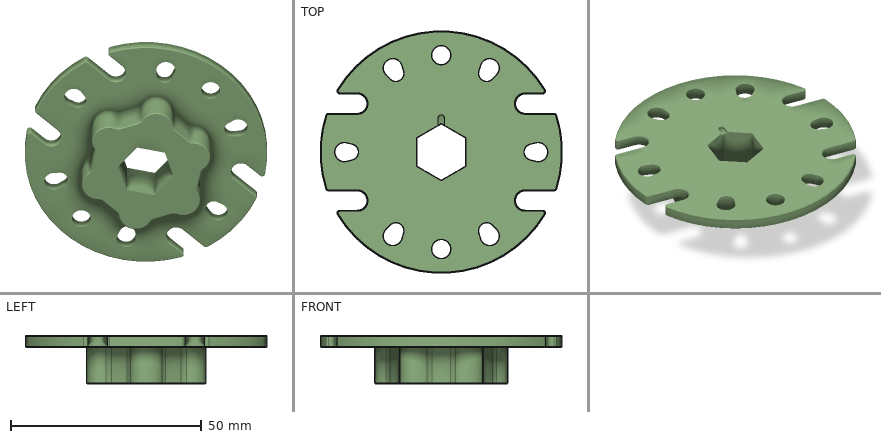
import cadquery as cq
import math

PLATE_RADIUS = 31.75
PLATE_THICKNESS = 3.2
EDGE_CHAMFER = 0.25

BOSS_HEIGHT = 9.5
LOBE_COUNT = 6
BOSS_RADIUS = 17.45
LOBE_RADIUS = 4.4
VALLEY_FLAT_DISTANCE = 14.15
VALLEY_FILLET = 2.05

HEX_SIDES = 6
HEX_ACROSS_FLATS = 12.8
MARK_WIDTH = 1.7
MARK_TIP_Y = 9.7
MARK_DEPTH = 0.65

BOLT_CIRCLE_RADIUS = 25.4
BOLT_HOLE_RADIUS = 2.5
SLOT_INNER_CIRCLE_RADIUS = 23.8
SLOT_INNER_RADIUS = 2.1
ROUND_HOLE_ANGLES = (90, 270)
SLOT_COUNT = 6

NOTCH_WIDTH = 5.1
NOTCH_ANGLE = 30
NOTCH_CORNER_FILLET = 0.75


def polar(radius, degrees):
    angle = math.radians(degrees)
    return (radius * math.cos(angle), radius * math.sin(angle))


def make_plate():
    """Disc on top of the boss, with four rim notches running along X."""
    plate = cq.Workplane("XY").circle(PLATE_RADIUS).extrude(PLATE_THICKNESS)
    end_x, end_y = polar(BOLT_CIRCLE_RADIUS, NOTCH_ANGLE)
    for x_side in (-1, 1):
        for y_side in (-1, 1):
            notch = (
                cq.Workplane("XY")
                .center(x_side * (end_x + PLATE_RADIUS / 2), y_side * end_y)
                .slot2D(PLATE_RADIUS + NOTCH_WIDTH, NOTCH_WIDTH)
                .extrude(PLATE_THICKNESS)
            )
            plate = plate.cut(notch)

    def is_notch_corner(edge):
        place = edge.Center()
        return abs(place.y) > NOTCH_WIDTH and math.hypot(place.x, place.y) > PLATE_RADIUS - EDGE_CHAMFER

    corner_edges = plate.edges("|Z").filter(is_notch_corner)
    plate = corner_edges.fillet(NOTCH_CORNER_FILLET)
    return plate.faces("<Z or >Z").edges().chamfer(EDGE_CHAMFER)


def make_boss():
    """Lobed boss, its lower edge chamfered, ending at the plate's underside."""
    lobe_distance = BOSS_RADIUS - LOBE_RADIUS
    pitch = 360 / LOBE_COUNT
    half_pitch = math.radians(pitch / 2)

    lobe_out = lobe_distance * math.cos(half_pitch)
    lobe_side = lobe_distance * math.sin(half_pitch)
    fillet_out = VALLEY_FLAT_DISTANCE + VALLEY_FILLET
    reach = LOBE_RADIUS + VALLEY_FILLET
    fillet_side = lobe_side - math.sqrt(reach**2 - (fillet_out - lobe_out) ** 2)
    touch_share = LOBE_RADIUS / reach
    touch_out = lobe_out + (fillet_out - lobe_out) * touch_share
    touch_side = lobe_side + (fillet_side - lobe_side) * touch_share
    half_turn = math.atan2(lobe_side - fillet_side, fillet_out - lobe_out) / 2
    middle_out = fillet_out - VALLEY_FILLET * math.cos(half_turn)
    middle_side = fillet_side + VALLEY_FILLET * math.sin(half_turn)

    def valley_point(out, side, degrees):
        return polar(math.hypot(out, side), degrees + math.degrees(math.atan2(side, out)))

    profile = cq.Workplane("XY").moveTo(*valley_point(touch_out, touch_side, -pitch / 2))
    for lobe in range(LOBE_COUNT):
        lobe_angle = lobe * pitch
        valley = lobe_angle + pitch / 2
        profile = (
            profile.threePointArc(
                polar(BOSS_RADIUS, lobe_angle), valley_point(touch_out, -touch_side, valley)
            )
            .threePointArc(
                valley_point(middle_out, -middle_side, valley),
                valley_point(VALLEY_FLAT_DISTANCE, -fillet_side, valley),
            )
            .lineTo(*valley_point(VALLEY_FLAT_DISTANCE, fillet_side, valley))
            .threePointArc(
                valley_point(middle_out, middle_side, valley),
                valley_point(touch_out, touch_side, valley),
            )
        )
    boss = profile.close().extrude(-BOSS_HEIGHT)
    return boss.faces("<Z").edges().chamfer(EDGE_CHAMFER)


def make_hex_bore():
    """Through bore with two flats facing X and corners on the Y axis."""
    corner_diameter = HEX_ACROSS_FLATS / math.cos(math.pi / HEX_SIDES)
    return (
        cq.Workplane("XY", origin=(0, 0, -BOSS_HEIGHT))
        .transformed(rotate=(0, 0, 90))
        .polygon(HEX_SIDES, corner_diameter)
        .extrude(BOSS_HEIGHT + PLATE_THICKNESS)
    )


def make_mark():
    """Shallow round-ended groove in the top face, from the bore toward +Y."""
    return (
        cq.Workplane("XY", origin=(0, MARK_TIP_Y / 2, PLATE_THICKNESS))
        .slot2D(MARK_TIP_Y, MARK_WIDTH, 90)
        .extrude(-MARK_DEPTH)
    )


def make_round_hole(degrees):
    center = polar(BOLT_CIRCLE_RADIUS, degrees)
    return cq.Workplane("XY").center(*center).circle(BOLT_HOLE_RADIUS).extrude(PLATE_THICKNESS)


def make_tapered_slot(degrees):
    """Radial slot, wider outward: two circles joined by their outer tangents."""
    center_gap = BOLT_CIRCLE_RADIUS - SLOT_INNER_CIRCLE_RADIUS
    tangent_angle = 90 + math.degrees(math.asin((BOLT_HOLE_RADIUS - SLOT_INNER_RADIUS) / center_gap))
    outer_x, outer_y = polar(BOLT_HOLE_RADIUS, tangent_angle)
    inner_x, inner_y = polar(SLOT_INNER_RADIUS, tangent_angle)
    outer_x += BOLT_CIRCLE_RADIUS
    inner_x += SLOT_INNER_CIRCLE_RADIUS
    return (
        cq.Workplane("XY")
        .moveTo(outer_x, -outer_y)
        .threePointArc((BOLT_CIRCLE_RADIUS + BOLT_HOLE_RADIUS, 0), (outer_x, outer_y))
        .lineTo(inner_x, inner_y)
        .threePointArc((SLOT_INNER_CIRCLE_RADIUS - SLOT_INNER_RADIUS, 0), (inner_x, -inner_y))
        .close()
        .extrude(PLATE_THICKNESS)
        .rotate((0, 0, 0), (0, 0, 1), degrees)
    )


result = make_plate().union(make_boss())
result = result.cut(make_hex_bore()).cut(make_mark())
for hole_angle in ROUND_HOLE_ANGLES:
    result = result.cut(make_round_hole(hole_angle))
for slot in range(SLOT_COUNT):
    result = result.cut(make_tapered_slot(slot * 360 / SLOT_COUNT))